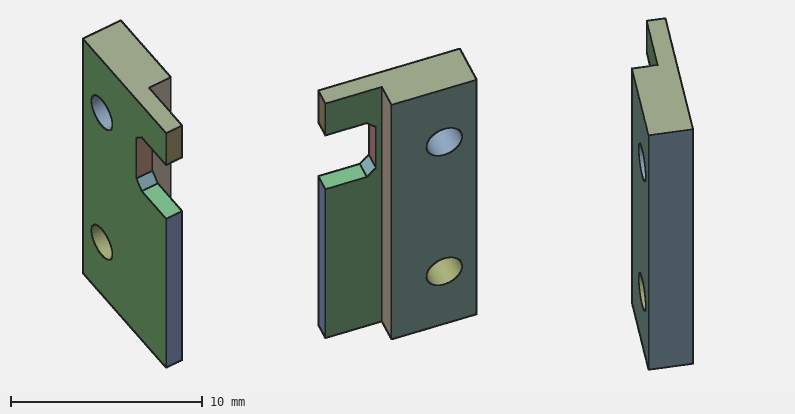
import cadquery as cq

width = 7.95
depth = 2.37
height = 18.2

body_width = 4.79
flange_depth = 1.0

hole_diameter = 2.0
hole_x = 1.82
hole_spacing = 10.05

notch_floor_x = 5.11
notch_bottom = 11.55
notch_height = 4.17
notch_chamfer = 0.51


def stepped_plate():
    """Plate with its front face on Y = 0 and a step on the back."""
    body = cq.Workplane("XY").box(body_width, depth, height, centered=False)
    flange = cq.Workplane("XY").box(width, flange_depth, height, centered=False)
    return body.union(flange)


def hole_cutter(z):
    """Cylinder that passes through the body along Y."""
    start = cq.Vector(hole_x, 0, z)
    return cq.Workplane(cq.Solid.makeCylinder(hole_diameter / 2, depth, start, cq.Vector(0, 1, 0)))


def notch_cutter():
    """Block open towards +X, with its two inner edges chamfered."""
    notch = cq.Workplane("XY").box(width - notch_floor_x, flange_depth, notch_height, centered=False)
    notch = notch.edges("|Y and <X").chamfer(notch_chamfer)
    return notch.translate((notch_floor_x, 0, notch_bottom))


result = stepped_plate().cut(notch_cutter())
for side in (-1, 1):
    result = result.cut(hole_cutter(height / 2 + side * hole_spacing / 2))